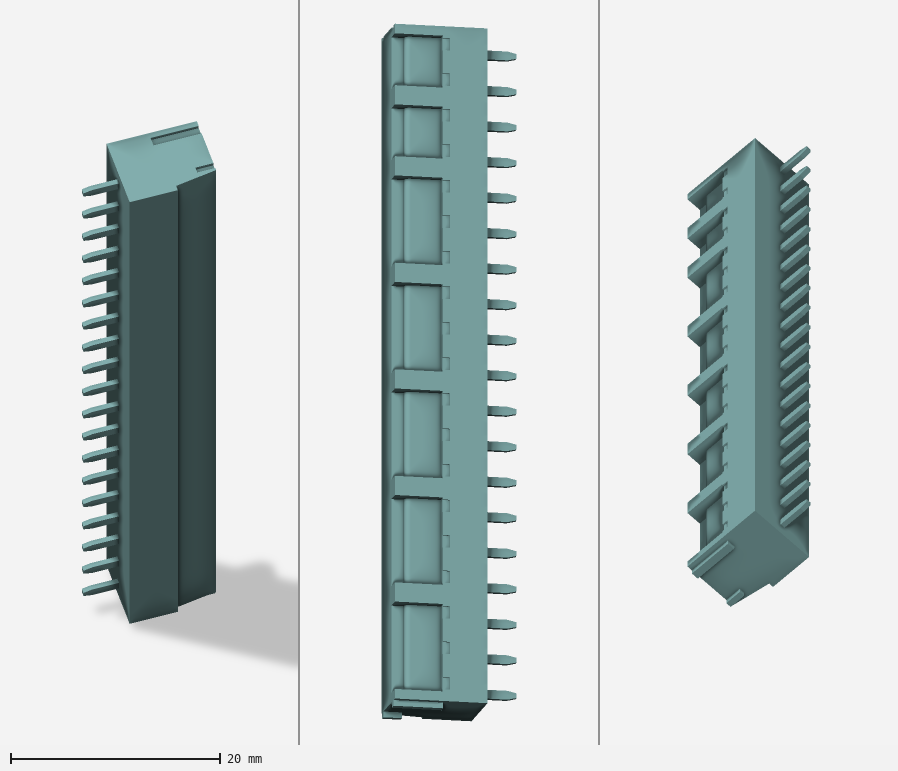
import cadquery as cq

pin_count = 19
pin_length = 3.55
pin_height = 0.9
pin_thickness = 0.55
pin_tip_height = 0.5
pin_taper_length = 0.9

overall_height = 67.05
housing_width = 7.4
housing_depth = 9.05
tongue_height = 0.57
housing_bottom = tongue_height
housing_height = overall_height - housing_bottom

pin_pitch = housing_height / pin_count
top_to_first_pin = pin_pitch / 2

relief_start = 4.8
relief_ledge_x = 6.85
relief_end_x = 6.2

pocket_pole_counts = [2, 2, 3, 3, 3, 3, 3]
pocket_margin = 0.8
pocket_length = 4.7
pocket_floor = 1.0
pocket_step_floor = 1.7
pocket_step_length = 1.2
pocket_step_radius = 0.55

notch_height = 1.2
notch_length = 0.7
notch_depth = 0.2

slot_depth = 0.35
large_joint_x = 0.6
large_joint_root_width = 0.95
large_joint_tip_width = 0.8
large_joint_length = 4.8
small_joint_x = 5.3
small_joint_width = 0.6
small_joint_length = 1.8


def pin_z(index):
    """Height of the centre line of a pin, counted from the top."""
    return overall_height - top_to_first_pin - index * pin_pitch


def box(x, y, z, width, depth, height):
    """Box given by its lowest corner and its sizes."""
    return cq.Workplane("XY").box(width, depth, height, centered=False).translate((x, y, z))


def make_housing():
    """Strip of constant section along Z, relieved at the back of its +X side."""
    outline = [
        (0, 0),
        (housing_width, 0),
        (housing_width, relief_start),
        (relief_ledge_x, relief_start),
        (relief_end_x, housing_depth),
        (0, housing_depth),
    ]
    base = cq.Workplane("XY").workplane(offset=housing_bottom)
    return base.polyline(outline).close().extrude(housing_height)


def make_pocket(first_pin, poles):
    """Pocket open to the back, with a rounded step down to a deeper floor."""
    top = pin_z(first_pin) + pocket_margin
    bottom = pin_z(first_pin + poles - 1) - pocket_margin
    step_y = housing_depth - pocket_step_length
    arc_start_y = step_y - pocket_step_radius
    return (
        cq.Workplane("XY")
        .workplane(offset=bottom)
        .moveTo(0, housing_depth - pocket_length)
        .lineTo(pocket_floor, housing_depth - pocket_length)
        .lineTo(pocket_floor, arc_start_y)
        .radiusArc((pocket_floor + pocket_step_radius, step_y), pocket_step_radius)
        .lineTo(pocket_step_floor, step_y)
        .lineTo(pocket_step_floor, housing_depth)
        .lineTo(0, housing_depth)
        .close()
        .extrude(top - bottom)
    )


def make_notch(index):
    """Shallow cut in the -X face at the front end of the pocket, level with a pin."""
    notch_y = housing_depth - pocket_length - notch_length
    notch_z = pin_z(index) - notch_height / 2
    return box(0, notch_y, notch_z, notch_depth, notch_length, notch_height)


def make_pin(index):
    """Flat pin pointing to -Y, tapered in height towards its tip."""
    half = pin_height / 2
    half_tip = pin_tip_height / 2
    taper_y = pin_taper_length - pin_length
    outline = [
        (0, -half),
        (taper_y, -half),
        (-pin_length, -half_tip),
        (-pin_length, half_tip),
        (taper_y, half),
        (0, half),
    ]
    pin = cq.Workplane("YZ").polyline(outline).close().extrude(pin_thickness)
    return pin.translate(((housing_width - pin_thickness) / 2, 0, pin_z(index)))


def make_joint_keys(height):
    """Large and small key at the back, with their roots on z = 0 and pointing down; the large one narrows."""
    large_profile = [
        (large_joint_x, 0),
        (large_joint_x + large_joint_root_width, 0),
        (large_joint_x + large_joint_tip_width, -height),
        (large_joint_x, -height),
    ]
    large = cq.Workplane("XZ", origin=(0, housing_depth, 0)).polyline(large_profile).close()
    large = large.extrude(large_joint_length)
    small_y = housing_depth - small_joint_length
    small = box(small_joint_x, small_y, -height, small_joint_width, small_joint_length, height)
    return [large, small]


result = make_housing()

first_pin = 0
for poles in pocket_pole_counts:
    result = result.cut(make_pocket(first_pin, poles))
    first_pin += poles

for index in range(pin_count):
    result = result.cut(make_notch(index))
    result = result.union(make_pin(index))

for slot in make_joint_keys(slot_depth):
    result = result.cut(slot.translate((0, 0, overall_height)))
for tongue in make_joint_keys(tongue_height):
    result = result.union(tongue.translate((0, 0, housing_bottom)))